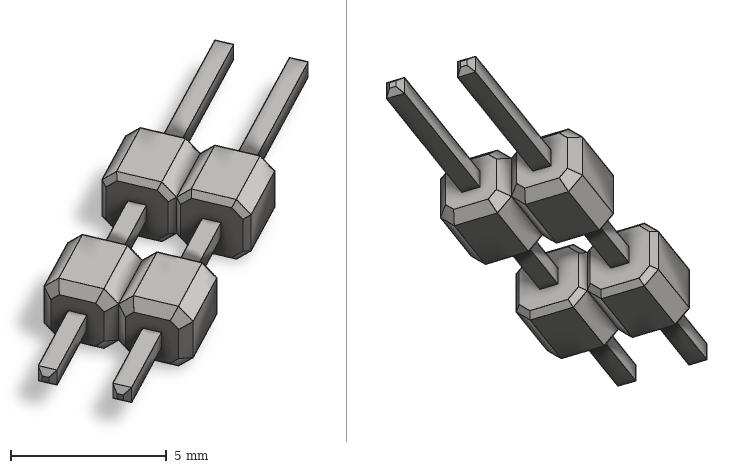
import cadquery as cq


pin_count = 2
pin_length = 17.3
pin_width = 0.64
tip_chamfer = 0.2

pitch = 2.55
block_length = 2.84
block_gap = 2.85
front_block_start = -5.59
corner_chamfer = 0.5
outer_end_chamfer = 0.36
inner_end_chamfer = 0.2


def make_pin(x):
    """Square pin centred on Y = 0, with both tips chamfered."""
    pin = cq.Workplane("XY").box(pin_width, pin_length, pin_width)
    return pin.faces("<Y or >Y").chamfer(tip_chamfer).translate((x, 0, 0))


def make_block(x, start, outer_end, inner_end):
    """Octagonal block from Y = start; outer_end and inner_end select its end faces."""
    block = cq.Workplane("XY").box(pitch, block_length, pitch)
    block = block.edges("|Y").chamfer(corner_chamfer)
    block = block.faces(outer_end).chamfer(outer_end_chamfer)
    block = block.faces(inner_end).chamfer(inner_end_chamfer)
    return block.translate((x, start + block_length / 2, 0))


rear_block_start = front_block_start + block_length + block_gap
result = cq.Workplane("XY")
for index in range(pin_count):
    pin_x = (index - (pin_count - 1) / 2) * pitch
    result = result.union(make_pin(pin_x))
    result = result.union(make_block(pin_x, front_block_start, "<Y", ">Y"))
    result = result.union(make_block(pin_x, rear_block_start, ">Y", "<Y"))